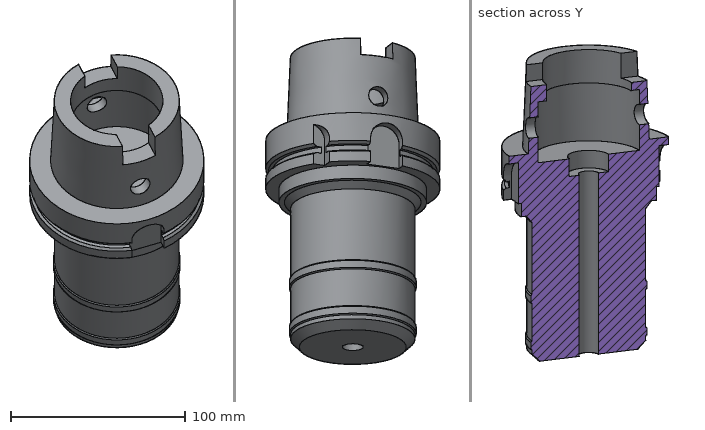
import cadquery as cq

height = 175.0
flange_diameter = 100.0
flange_radius = flange_diameter / 2

flange_top = 125.0
shank_base_radius = 38.0
shank_top_radius = 35.9

flange_bottom = 95.7
groove_radius = 46.2
groove_bottom = 102.9
groove_top = 106.5
lip_width = 1.5
lower_lip_height = 1.0
upper_lip_height = 1.5

collar_radius = 42.4
collar_bottom = 87.7
cone_radius = 39.2
cone_bottom = 83.6
body_radius = 35.7
band_radius = 36.4
band_height = 5.6
band_bottoms = (7.4, 35.2)
band_chamfer = band_radius - body_radius
bottom_radius = 30.6
bottom_chamfer_height = 4.9

mouth_radius = 26.5
mouth_depth = 20.0
chamber_radius = 31.5
chamber_floor = 119.0
counterbore_radius = 12.0
counterbore_depth = 10.5
through_radius = 6.0

slot_width = 20.0
left_notch_depth = 10.0
right_notch_depth = 14.9
cross_hole_radius = 6.0
cross_hole_height = 140.2
slot_peak = 120.0
key_floor = 44.0
side_slot_floor = 32.0
side_slot_inner_edge = 31.3


def outer_body():
    profile = [(0, 0), (bottom_radius, 0), (body_radius, bottom_chamfer_height)]
    for bottom in band_bottoms:
        top = bottom + band_height
        profile += [
            (body_radius, bottom),
            (band_radius, bottom + band_chamfer),
            (band_radius, top - band_chamfer),
            (body_radius, top),
        ]
    profile += [
        (body_radius, cone_bottom),
        (cone_radius, collar_bottom),
        (collar_radius, collar_bottom),
        (collar_radius, flange_bottom),
        (flange_radius, flange_bottom),
        (flange_radius, groove_bottom - lower_lip_height),
        (flange_radius - lip_width, groove_bottom),
        (groove_radius, groove_bottom),
        (groove_radius, groove_top),
        (flange_radius - lip_width, groove_top),
        (flange_radius, groove_top + upper_lip_height),
        (flange_radius, flange_top),
        (shank_base_radius, flange_top),
        (shank_top_radius, height),
        (0, height),
    ]
    return cq.Workplane("XZ").polyline(profile).close().revolve(360, (0, 0), (0, 1))


def stepped_bore():
    mouth_bottom = height - mouth_depth
    counterbore_floor = chamber_floor - counterbore_depth
    profile = [
        (0, 0),
        (through_radius, 0),
        (through_radius, counterbore_floor),
        (counterbore_radius, counterbore_floor),
        (counterbore_radius, chamber_floor),
        (chamber_radius, chamber_floor),
        (chamber_radius, mouth_bottom),
        (mouth_radius, mouth_bottom),
        (mouth_radius, height),
        (0, height),
    ]
    return cq.Workplane("XZ").polyline(profile).close().revolve(360, (0, 0), (0, 1))


def rim_notch(side, depth):
    """Drive notch through the rim on the -X (-1) or +X (+1) side."""
    return (
        cq.Workplane("XY")
        .box(flange_radius, slot_width, depth, centered=(True, True, False))
        .translate((side * flange_radius / 2, 0, height - depth))
    )


def arched_slot(side, floor, center_y):
    """Round-topped flange slot, open downward and outward along X."""
    half_width = slot_width / 2
    spring_height = slot_peak - half_width
    return (
        cq.Workplane("YZ")
        .workplane(offset=side * floor)
        .moveTo(center_y - half_width, flange_bottom)
        .lineTo(center_y - half_width, spring_height)
        .threePointArc((center_y, slot_peak), (center_y + half_width, spring_height))
        .lineTo(center_y + half_width, flange_bottom)
        .close()
        .extrude(side * flange_radius)
    )


def cross_hole():
    return (
        cq.Workplane("YZ")
        .center(0, cross_hole_height)
        .circle(cross_hole_radius)
        .extrude(flange_radius, both=True)
    )


result = outer_body().cut(stepped_bore()).cut(cross_hole())
for side, notch_depth in ((-1, left_notch_depth), (1, right_notch_depth)):
    result = result.cut(rim_notch(side, notch_depth))
    result = result.cut(arched_slot(side, key_floor, 0))

side_slot_center = side_slot_inner_edge + slot_width / 2
result = result.cut(arched_slot(-1, side_slot_floor, side_slot_center))